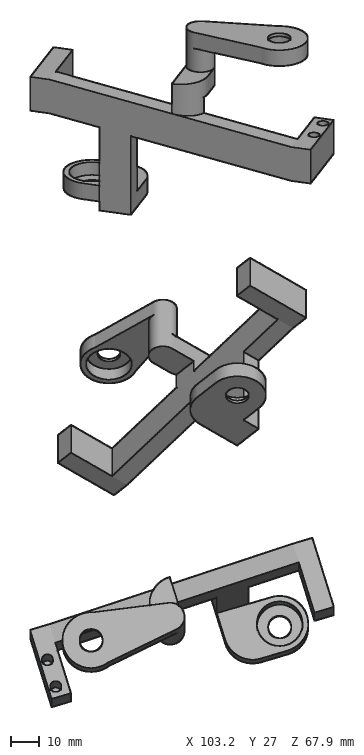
import cadquery as cq
import math

length = 103.2
height = 67.9

beam_depth = 7.0
block_width = 7.1
block_depth = 25.9
beam_height = 13.1
left_block_bottom = 34.8
right_block_bottom = 21.8

pin_hole_diameter = 3.9
pin_hole_depth = 10.0
pin_hole_x = 100.5
pin_hole_spacing = 10.0
front_pin_hole_y = 12.1

lug_radius = 10.0
lug_thickness = 6.2
lug_y = beam_depth + lug_radius
bore_diameter = 8.0
counterbore_diameter = 16.0
counterbore_depth = 5.0
lower_lug_x = block_width + lug_radius
upper_lug_x = length - block_width - lug_radius
taper_end_x = 82.6

post_left = 25.5
post_right = 37.0

column_radius = lug_radius / 2
column_left = 52.1
column_x = column_left + column_radius
crank_bottom = 45.9
crank_top = 52.8


def box(x_start, x_end, y_start, y_end, z_start, z_end):
    """Box between the given limits."""
    size = (x_end - x_start, y_end - y_start, z_end - z_start)
    return cq.Workplane("XY").box(*size, centered=False).translate((x_start, y_start, z_start))


def cylinder(x, y, radius, z_start, z_end):
    """Vertical cylinder between two heights."""
    return cq.Workplane("XY", origin=(x, y, z_start)).circle(radius).extrude(z_end - z_start)


def beam_underside(x):
    """Height of the sloping underside at position x."""
    fraction = (x - block_width) / (length - 2 * block_width)
    return left_block_bottom + fraction * (right_block_bottom - left_block_bottom)


def make_beam():
    slope_end = length - block_width
    left_block_top = left_block_bottom + beam_height
    right_block_top = right_block_bottom + beam_height
    beam = (
        cq.Workplane("XZ")
        .moveTo(block_width, left_block_bottom)
        .lineTo(slope_end, right_block_bottom)
        .lineTo(slope_end, right_block_top)
        .lineTo(block_width, left_block_top)
        .close()
        .extrude(-beam_depth)
    )
    left_block = box(0, block_width, 0, block_depth, left_block_bottom, left_block_top)
    right_block = box(slope_end, length, 0, block_depth, right_block_bottom, right_block_top)
    for y in (front_pin_hole_y, front_pin_hole_y + pin_hole_spacing):
        hole = cylinder(
            pin_hole_x, y, pin_hole_diameter / 2, right_block_top - pin_hole_depth, right_block_top
        )
        right_block = right_block.cut(hole)
    return beam.union(left_block).union(right_block)


def make_post():
    """Post with its top cut to the slope and sunk into the beam."""
    overlap = beam_height / 2
    return (
        cq.Workplane("XZ")
        .moveTo(post_left, 0)
        .lineTo(post_right, 0)
        .lineTo(post_right, beam_underside(post_right) + overlap)
        .lineTo(post_left, beam_underside(post_left) + overlap)
        .close()
        .extrude(-beam_depth)
    )


def make_lower_lug():
    back = lug_y + lug_radius
    corner_x = post_right - lug_radius
    diagonal = lug_radius * math.sqrt(0.5)
    lug = (
        cq.Workplane("XY")
        .moveTo(lower_lug_x, beam_depth)
        .lineTo(post_right, beam_depth)
        .lineTo(post_right, lug_y)
        .threePointArc((corner_x + diagonal, lug_y + diagonal), (corner_x, back))
        .lineTo(lower_lug_x, back)
        .threePointArc((lower_lug_x - lug_radius, lug_y), (lower_lug_x, beam_depth))
        .close()
        .extrude(lug_thickness)
    )
    return (
        lug.faces(">Z")
        .workplane(origin=(lower_lug_x, lug_y, lug_thickness))
        .cboreHole(bore_diameter, counterbore_diameter, counterbore_depth)
    )


def make_upper_lug():
    """Teardrop plate with straight sides tangent to the column, counterbored from below."""
    plate_bottom = height - lug_thickness
    large_offset = math.sqrt(lug_radius**2 - (upper_lug_x - taper_end_x) ** 2)
    run = taper_end_x - column_x
    tangent_angle = math.atan2(large_offset, run) + math.acos(column_radius / math.hypot(run, large_offset))
    small_x = column_x + column_radius * math.cos(tangent_angle)
    small_offset = column_radius * math.sin(tangent_angle)
    plate = (
        cq.Workplane("XY", origin=(0, 0, plate_bottom))
        .moveTo(small_x, lug_y - small_offset)
        .lineTo(taper_end_x, lug_y - large_offset)
        .threePointArc((upper_lug_x + lug_radius, lug_y), (taper_end_x, lug_y + large_offset))
        .lineTo(small_x, lug_y + small_offset)
        .threePointArc((column_left, lug_y), (small_x, lug_y - small_offset))
        .close()
        .extrude(lug_thickness)
    )
    bore = cylinder(upper_lug_x, lug_y, bore_diameter / 2, plate_bottom, height)
    counterbore = cylinder(
        upper_lug_x, lug_y, counterbore_diameter / 2, plate_bottom, plate_bottom + counterbore_depth
    )
    return plate.cut(bore).cut(counterbore)


def make_crank():
    """Crank from the beam to the column, with one rounded front corner."""
    crank_right = column_left + 2 * column_radius
    corner_radius = 2 * column_radius
    diagonal = corner_radius * math.sqrt(0.5)
    root_bottom = beam_underside(crank_right) + beam_height / 2
    crank = (
        cq.Workplane("XY", origin=(0, 0, root_bottom))
        .moveTo(column_left, 0)
        .threePointArc(
            (column_left + diagonal, corner_radius - diagonal), (crank_right, corner_radius)
        )
        .lineTo(crank_right, lug_y)
        .lineTo(column_left, lug_y)
        .close()
        .extrude(crank_top - root_bottom)
    )
    clearance = box(column_left, crank_right, beam_depth, lug_y, root_bottom, crank_bottom)
    column = cylinder(column_x, lug_y, column_radius, crank_bottom, height)
    return crank.cut(clearance).union(column)


result = (
    make_beam()
    .union(make_post())
    .union(make_lower_lug())
    .union(make_crank())
    .union(make_upper_lug())
)